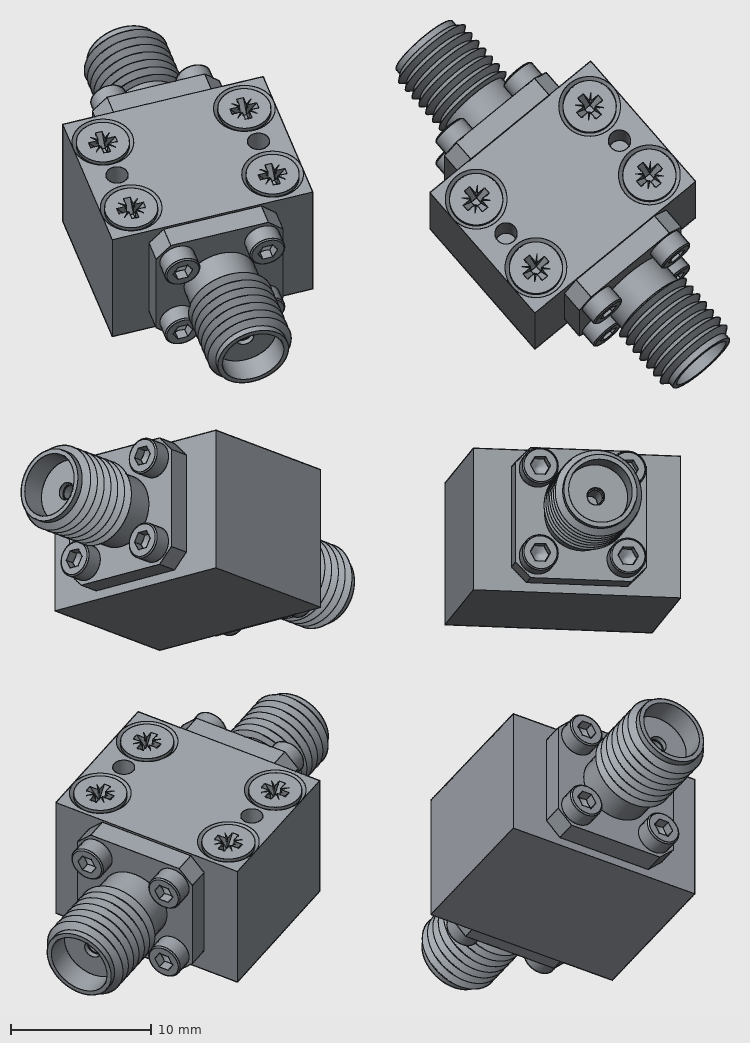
import cadquery as cq
import math


overall_length = 30.6
body_length = 11.6
body_width = 15.0
body_height = 10.35
axis_below_top = 4.925
body_top = axis_below_top
body_bottom = body_top - body_height
body_end = body_length / 2

flange_size = 9.5
flange_thickness = 1.65
flange_chamfer = 1.1
flange_face = body_end + flange_thickness

tip = overall_length / 2
barrel_radius = 5.3 / 2
crest_radius = 6.25 / 2
thread_pitch = 0.75
crest_count = 7
first_crest_from_tip = 0.85
thread_runout = 0.2

bore_diameter = 4.6
bore_depth = 1.85
contact_hole_diameter = 1.27
contact_step_depth = 0.4
contact_core_diameter = 1.07
contact_core_depth = 2.0

cap_pitch = 6.35
cap_head_diameter = 2.6
cap_head_height = 1.35
cap_edge_chamfer = 0.1
hex_across_flats = 1.27
hex_depth = 0.7
drill_point_angle = 118.0

cover_pitch_x = 6.6
cover_pitch_y = 10.58
countersink_diameter = 4.4
cover_head_diameter = 3.8
countersink_angle = 90.0
recess_radius = 1.0
recess_slot_width = 0.5
recess_depth = 1.0
star_inner_radius = 0.12
star_depth = 0.3
dowel_diameter = 1.57
dowel_depth = 3.0


def grid(pitch_u, pitch_v):
    """Four corner points of a rectangle centred on the origin."""
    return [(su * pitch_u / 2, sv * pitch_v / 2) for su in (-1, 1) for sv in (-1, 1)]


def make_body():
    block = cq.Workplane("XY").workplane(offset=body_bottom)
    return block.rect(body_length, body_width).extrude(body_height)


def plane_facing_x(x):
    """Workplane at the given X, normal to +X, with local axes Y and Z."""
    return cq.Workplane("YZ").workplane(offset=x)


def make_flange():
    plate = plane_facing_x(body_end).rect(flange_size, flange_size).extrude(flange_thickness)
    return plate.edges("|X").chamfer(flange_chamfer)


def make_barrel():
    """Barrel with ring-shaped 'thread' crests, revolved about X."""
    half_pitch = thread_pitch / 2
    outline = cq.Workplane("XY").moveTo(body_end, 0).lineTo(tip, 0).lineTo(tip, barrel_radius)
    for i in range(crest_count):
        crest = tip - first_crest_from_tip - i * thread_pitch
        outline = outline.lineTo(crest + half_pitch, barrel_radius).lineTo(crest, crest_radius)
    outline = outline.lineTo(crest - thread_runout, barrel_radius)
    outline = outline.lineTo(body_end, barrel_radius).close()
    return outline.revolve(360, (0, 0, 0), (1, 0, 0))


def drill_from(x, diameter, depth):
    """Axial cylinder running inward from the given X."""
    return plane_facing_x(x).circle(diameter / 2).extrude(-depth)


def make_mouth():
    bore_floor = tip - bore_depth
    step_floor = bore_floor - contact_step_depth
    bore = drill_from(tip, bore_diameter, bore_depth)
    step = drill_from(bore_floor, contact_hole_diameter, contact_step_depth)
    core = drill_from(step_floor, contact_core_diameter, contact_core_depth)
    return bore.union(step).union(core)


def make_cap_screw():
    """Screw head on the connector axis, with a hex socket ending in a drill point."""
    head_face = flange_face + cap_head_height
    head = plane_facing_x(flange_face).circle(cap_head_diameter / 2).extrude(cap_head_height)
    head = head.faces(">X").chamfer(cap_edge_chamfer)

    hex_radius = hex_across_flats / math.sqrt(3)
    point_depth = hex_radius / math.tan(math.radians(drill_point_angle / 2))
    cone_base = head_face - hex_depth
    cone_tip = cone_base - point_depth
    hex_prism = plane_facing_x(cone_tip).polygon(6, 2 * hex_radius).extrude(head_face - cone_tip)
    drill_outline = [(cone_tip, 0), (head_face, 0), (head_face, hex_radius), (cone_base, hex_radius)]
    drill = cq.Workplane("XY").polyline(drill_outline).close().revolve(360, (0, 0, 0), (1, 0, 0))
    return head.cut(hex_prism.intersect(drill))


def make_connector():
    connector = make_flange().union(make_barrel())
    screw = make_cap_screw()
    for y, z in grid(cap_pitch, cap_pitch):
        connector = connector.union(screw.translate((0, y, z)))
    return connector.cut(make_mouth())


def make_head_groove():
    """Gap around a flush screw head: sloped countersink outside, upright head inside."""
    outer = countersink_diameter / 2
    inner = cover_head_diameter / 2
    depth = (outer - inner) / math.tan(math.radians(countersink_angle / 2))
    section = cq.Workplane("XZ").polyline([(inner, 0), (outer, 0), (inner, -depth)]).close()
    return section.revolve(360, (0, 0, 0), (0, 1, 0))


def make_recess_slot():
    """One slot of the cross, its ends sloping in to a short flat floor."""
    floor_half = recess_slot_width / 2
    mouth = [(-recess_radius, 0), (recess_radius, 0)]
    floor = [(floor_half, -recess_depth), (-floor_half, -recess_depth)]
    return cq.Workplane("XZ").polyline(mouth + floor).close().extrude(recess_slot_width / 2, both=True)


def make_recess_star():
    """Four thin pointed notches lying between the arms of the cross."""
    points = []
    for i in range(8):
        radius = recess_radius if i % 2 else star_inner_radius
        angle = math.radians(45 * i)
        points.append((radius * math.cos(angle), radius * math.sin(angle)))
    return cq.Workplane("XY").polyline(points).close().extrude(-star_depth)


def make_cover_screw_cut():
    slot = make_recess_slot()
    crossed_slot = slot.rotate((0, 0, 0), (0, 0, 1), 90)
    drive_recess = slot.union(crossed_slot).union(make_recess_star())
    return make_head_groove().union(drive_recess)


def cut_top_features(part):
    screw_cut = make_cover_screw_cut()
    for x, y in grid(cover_pitch_x, cover_pitch_y):
        part = part.cut(screw_cut.translate((x, y, body_top)))
    top = cq.Workplane("XY").workplane(offset=body_top)
    dowel_centres = [(0, -cover_pitch_y / 2), (0, cover_pitch_y / 2)]
    return part.cut(top.pushPoints(dowel_centres).circle(dowel_diameter / 2).extrude(-dowel_depth))


connector = make_connector()
result = make_body().union(connector).union(connector.mirror("YZ"))
result = cut_top_features(result)